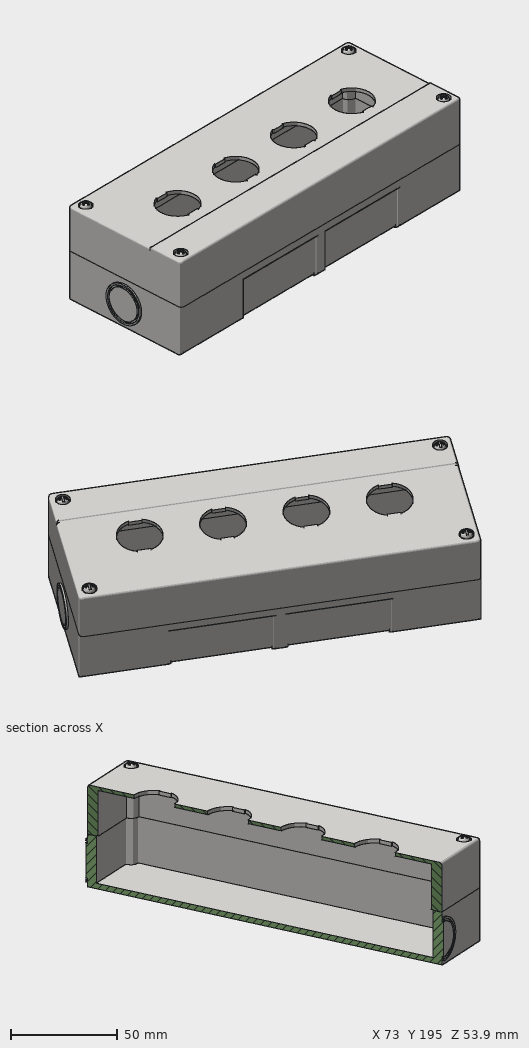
import cadquery as cq
import math

width = 73.0
length = 193.0
parting_height = 27.0
plate_height = 52.0
strip_height = 52.75
edge_radius = 2.0
lid_edge_radius = 1.5

strip_start = 16.25
step_width = 1.25

lid_wall = 6.0
lid_thickness = 2.0
base_floor = 3.0
lid_post_radius = 4.25
base_post_radius = 6.25 / 2
base_post_blend = 1.0

screw_x = width / 2 - lid_wall
screw_y = length / 2 - lid_wall
head_radius = 3.0
head_seat_height = 51.0
counterbore_diameter = 7.0
shank_diameter = 4.25
shank_end_height = 10.0
cross_length = 4.0
cross_width = 1.0
cross_depth = 1.0

button_diameter = 22.0
button_pitch = 40.0
button_count = 4
key_width = 6.5
key_face_distance = 9.8

knockout_diameter = 22.0
groove_outer_diameter = 20.0
groove_inner_diameter = 18.0
knockout_height = 1.0
knockout_groove_depth = 1.0
knockout_center_height = 13.25

panel_length = 52.0
panel_pitch = 56.25
panel_height = 23.0
panel_depth = 1.3
panel_border = 1.75
panel_floor_edge_radius = 2.0

screw_points = [(sx * screw_x, sy * screw_y) for sx in (-1, 1) for sy in (-1, 1)]


def arc_middle(center_x, center_y, radius, angle):
    """Point on a circle at an angle in degrees."""
    turn = math.radians(angle)
    return (center_x + radius * math.cos(turn), center_y + radius * math.sin(turn))


def soft_step(outline, start, end):
    """Continue an outline from start to end along an S of two equal arcs, level at both ends."""
    run = end[0] - start[0]
    rise = end[1] - start[1]
    radius = (run**2 + rise**2) / (4 * abs(rise))
    half_turn = math.atan(abs(rise / run))
    along = math.copysign(radius * math.sin(half_turn), run)
    away = math.copysign(radius * (1 - math.cos(half_turn)), rise)
    middle = (start[0] + run / 2, start[1] + rise / 2)
    outline = outline.threePointArc((start[0] + along, start[1] + away), middle)
    return outline.threePointArc((end[0] - along, end[1] - away), end)


def cavity(bottom, top, post_radius, blend):
    """Cavity with a rounded post standing in each corner on the screw axis."""
    wall_x = screw_x + blend
    wall_y = screw_y + blend
    post_x = screw_x - post_radius
    post_y = screw_y - post_radius
    quarter = cq.Workplane("XY", origin=(0, 0, bottom)).moveTo(wall_x, 0)
    quarter = quarter.lineTo(wall_x, post_y - blend)
    if blend > 0:
        quarter = quarter.threePointArc(arc_middle(screw_x, post_y - blend, blend, 45), (screw_x, post_y))
    quarter = quarter.threePointArc(arc_middle(screw_x, screw_y, post_radius, 225), (post_x, screw_y))
    if blend > 0:
        quarter = quarter.threePointArc(arc_middle(post_x - blend, screw_y, blend, 45), (post_x - blend, wall_y))
    quarter = quarter.lineTo(0, wall_y).lineTo(0, 0).close()
    solid = quarter.extrude(top - bottom)
    half = solid.union(solid.mirror("YZ"))
    return half.union(half.mirror("XZ"))


def panel_recess(center_y):
    """Recess in the -X wall with S-shaped borders on three sides, open at the bottom."""
    wall = -width / 2
    floor = wall + panel_depth
    half = panel_length / 2
    floor_half = half - panel_border
    floor_top = panel_height - panel_border

    plan_plane = cq.Plane(origin=(0, center_y, 0), xDir=(0, 1, 0), normal=(0, 0, -1))
    plan = cq.Workplane(plan_plane).moveTo(-half, wall)
    plan = soft_step(plan, (-half, wall), (-floor_half, floor)).lineTo(floor_half, floor)
    plan = soft_step(plan, (floor_half, floor), (half, wall)).close().extrude(-panel_height)

    side_plane = cq.Plane(origin=(0, center_y, 0), xDir=(0, 0, 1), normal=(0, 1, 0))
    side = cq.Workplane(side_plane).moveTo(0, wall).lineTo(0, floor).lineTo(floor_top, floor)
    side = soft_step(side, (floor_top, floor), (panel_height, wall)).close().extrude(half, both=True)

    radius = panel_floor_edge_radius
    rounding = (
        cq.Workplane(side_plane).moveTo(0, wall).lineTo(0, floor + radius)
        .threePointArc(arc_middle(radius, floor + radius, radius, 225), (radius, floor))
        .lineTo(radius, wall).close().extrude(floor_half, both=True)
    )
    return plan.intersect(side).union(rounding)


def knockout(side):
    """Raised disc on an end wall with a ring groove that leaves a thin rim around a plug."""
    disc = cq.Workplane("XZ").circle(knockout_diameter / 2).extrude(-knockout_height)
    groove = (
        cq.Workplane("XZ", origin=(0, knockout_height - knockout_groove_depth, 0))
        .circle(groove_outer_diameter / 2).circle(groove_inner_diameter / 2).extrude(-knockout_groove_depth)
    )
    disc = disc.cut(groove).translate((0, length / 2, knockout_center_height))
    return disc if side > 0 else disc.mirror("XZ")


def make_base():
    """Open-topped box with corner posts, recessed side panels and end knockouts."""
    body = cq.Workplane("XY").box(width, length, parting_height, centered=(True, True, False))
    body = body.edges("|Z").fillet(edge_radius)
    body = body.intersect(
        cq.Workplane("XY").box(width, length, 2 * parting_height, centered=(True, True, False))
        .edges("<Z and |Y").fillet(edge_radius)
    )
    body = body.cut(cavity(base_floor, parting_height, base_post_radius, base_post_blend))
    for side in (-1, 1):
        panel = panel_recess(side * panel_pitch / 2)
        body = body.cut(panel).cut(panel.mirror("YZ"))
        body = body.union(knockout(side))
    shank_depth = parting_height - shank_end_height
    holes = cq.Workplane("XY", origin=(0, 0, shank_end_height)).pushPoints(screw_points)
    return body.cut(holes.circle(shank_diameter / 2).extrude(shank_depth))


def lid_block(height):
    """Solid block above the parting plane with rounded sides and top edge."""
    block = cq.Workplane("XY").box(width, length, height - parting_height, centered=(True, True, False))
    block = block.translate((0, 0, parting_height))
    block = block.edges("|Z").fillet(edge_radius)
    return block.faces(">Z").edges().fillet(lid_edge_radius)


def button_hole(y):
    """Round cutter with a flat-faced key left standing on each X side."""
    cutter = cq.Workplane("XY", origin=(0, y, parting_height)).circle(button_diameter / 2).extrude(strip_height)
    for side in (-1, 1):
        key = cq.Workplane("XY", origin=(0, y, parting_height)).rect(button_diameter, key_width)
        key = key.extrude(strip_height).translate((side * (key_face_distance + button_diameter / 2), 0, 0))
        cutter = cutter.cut(key)
    return cutter


def make_lid():
    """Hollow lid with a raised strip, button holes and screw seats."""
    body = lid_block(plate_height)
    zone = cq.Workplane("XZ").moveTo(strip_start, parting_height).lineTo(strip_start, plate_height)
    zone = soft_step(zone, (strip_start, plate_height), (strip_start + step_width, strip_height))
    zone = zone.lineTo(width, strip_height).lineTo(width, parting_height).close()
    strip_zone = zone.extrude(length, both=True)
    body = body.union(lid_block(strip_height).intersect(strip_zone))
    body = body.cut(cavity(parting_height, plate_height - lid_thickness, lid_post_radius, 0))
    first = -(button_count - 1) / 2
    for i in range(button_count):
        body = body.cut(button_hole((first + i) * button_pitch))
    seats = cq.Workplane("XY", origin=(0, 0, head_seat_height)).pushPoints(screw_points)
    body = body.cut(seats.circle(counterbore_diameter / 2).extrude(strip_height - head_seat_height))
    bores = cq.Workplane("XY", origin=(0, 0, parting_height)).pushPoints(screw_points)
    return body.cut(bores.circle(shank_diameter / 2).extrude(head_seat_height - parting_height))


def make_screw(x, y):
    """Round-headed screw with a cross slot and a plain shank."""
    apex = head_seat_height + head_radius
    screw = cq.Workplane("XY", origin=(0, 0, head_seat_height)).sphere(head_radius)
    screw = screw.intersect(
        cq.Workplane("XY", origin=(0, 0, head_seat_height)).circle(head_radius).extrude(head_radius)
    )
    for size in ((cross_length, cross_width), (cross_width, cross_length)):
        slot = cq.Workplane("XY", origin=(0, 0, apex - cross_depth)).rect(*size).extrude(cross_depth)
        screw = screw.cut(slot)
    shank = cq.Workplane("XY", origin=(0, 0, shank_end_height)).circle(shank_diameter / 2)
    screw = screw.union(shank.extrude(head_seat_height - shank_end_height))
    return screw.translate((x, y, 0))


base = make_base()
lid = make_lid()
screws = [make_screw(x, y) for x, y in screw_points]

result = cq.Compound.makeCompound([base.val(), lid.val(), *[screw.val() for screw in screws]])